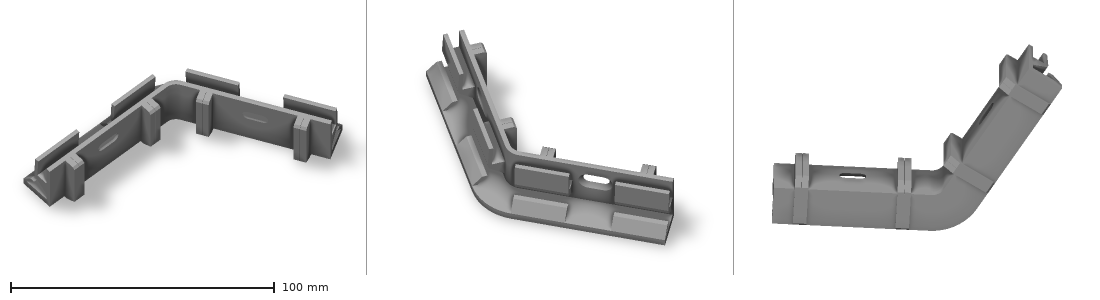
import cadquery as cq
import math


overall_length = 107.1
bend_angle = 60.3
leg_width = 15.0
bend_inner_radius = 5.0
wall_height = 22.2
wall_thickness = 1.9
floor_thickness = 3.0

bend_outer_radius = bend_inner_radius + leg_width
bend_rad = math.radians(bend_angle)
leg_length = (overall_length - bend_outer_radius * math.sin(bend_rad)) / (1 + math.cos(bend_rad))
plate_length = 18.0
clip_length = (leg_length - plate_length) / 2
inner_face = wall_thickness

lip_rise = 4.1
lip_width = 2.0
lip_top = floor_thickness + lip_rise

arm_setback = 6.2
arm_lean = 0.5
arm_thickness = 1.7
heel_inset = 0.4
heel_height = 11.1
shelf_height = 13.0
bracket_root_height = 6.0

rib_width = 5.1
rib_reach = 5.1
rib_drop = 1.0
rib_chamfer = 1.0
rib_taper_start = 1.0
rib_tip_height = 1.1
rib_slit = 0.1

slot_length = 10.2
slot_height = 4.3
slot_z = 14.0
countersink = 1.6


def angle_section():
    """L-shaped outline of floor and wall in the YZ plane."""
    return [
        (0, 0),
        (leg_width, 0),
        (leg_width, floor_thickness),
        (inner_face, floor_thickness),
        (inner_face, wall_height),
        (0, wall_height),
    ]


def clip_section():
    """Outline of floor, wall, lip and clip arm in the YZ plane."""
    lip_tip = leg_width - lip_rise
    arm_outer_bottom = leg_width - arm_setback
    arm_outer_top = arm_outer_bottom - arm_lean
    return [
        (0, 0),
        (leg_width, 0),
        (leg_width, floor_thickness),
        (lip_tip, lip_top),
        (lip_tip - lip_width, lip_top),
        (leg_width - lip_width, floor_thickness),
        (inner_face, floor_thickness),
        (inner_face, bracket_root_height),
        (arm_outer_bottom - heel_inset, heel_height),
        (arm_outer_bottom, shelf_height),
        (arm_outer_top, wall_height),
        (arm_outer_top - arm_thickness, wall_height),
        (arm_outer_bottom - arm_thickness, shelf_height),
        (inner_face, shelf_height),
        (inner_face, wall_height),
        (0, wall_height),
    ]


def leg_bar(section, start, length):
    """Extrude a YZ outline along the leg."""
    return cq.Workplane("YZ", origin=(start, 0, 0)).polyline(section).close().extrude(length)


def make_rib(center_x):
    """Rib with chamfered ends and a tapered tip, slit down its middle outside the wall."""
    outline = [
        (inner_face, wall_height),
        (rib_chamfer - rib_reach, wall_height),
        (-rib_reach, wall_height - rib_chamfer),
        (-rib_reach, rib_tip_height),
        (-rib_taper_start, -rib_drop),
        (leg_width - rib_chamfer, -rib_drop),
        (leg_width, 0),
        (inner_face, 0),
    ]
    rib = leg_bar(outline, center_x - rib_width / 2, rib_width)
    slit_height = wall_height + rib_drop
    slit = (
        cq.Workplane("XY", origin=(center_x, -rib_reach / 2, -rib_drop))
        .box(rib_slit, rib_reach, slit_height, centered=(True, True, False))
    )
    return rib.cut(slit)


def make_clip(start):
    clip = leg_bar(clip_section(), start, clip_length)
    return clip.union(make_rib(start + clip_length / 2))


def slot_outline(y, growth):
    """Obround wire in the XZ plane at the given Y, enlarged all round by growth."""
    height = slot_height + 2 * growth
    length = slot_length + 2 * growth
    return cq.Workplane("XZ", origin=(leg_length / 2, y, slot_z)).slot2D(length, height)


def make_screw_plate():
    plate = leg_bar(angle_section(), clip_length, plate_length)
    through_slot = slot_outline(inner_face, 0).extrude(wall_thickness)
    flare_angle = math.degrees(math.atan(countersink / wall_thickness))
    flare = slot_outline(inner_face, countersink).extrude(wall_thickness, taper=flare_angle)
    return plate.cut(through_slot).cut(flare)


def make_bend():
    """Floor and wall revolved about the bend axis, starting at the first leg."""
    section = [(bend_inner_radius + y, z) for y, z in angle_section()]
    bend = cq.Workplane("XZ").polyline(section).close().revolve(bend_angle, (0, 0), (0, 1))
    return bend.rotate((0, 0, 0), (0, 0, 1), 90)


def on_first_leg(body):
    return body.translate((0, bend_inner_radius, 0))


def on_second_leg(body):
    """Mirror image of the first leg, turned through the bend."""
    return on_first_leg(body).mirror("YZ").rotate((0, 0, 0), (0, 0, 1), bend_angle)


bodies = [make_bend().val()]
for place in (on_first_leg, on_second_leg):
    for clip_start in (0, clip_length + plate_length):
        bodies.append(place(make_clip(clip_start)).val())
    bodies.append(place(make_screw_plate()).val())

result = cq.Compound.makeCompound(bodies)